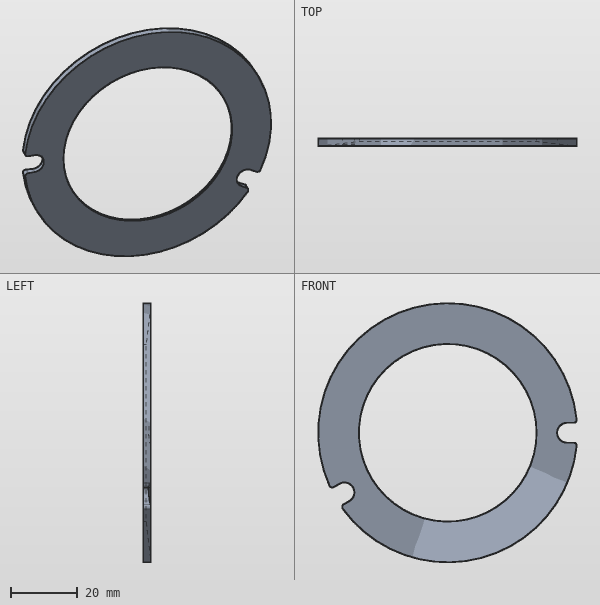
import cadquery as cq

outer_radius = 39.0
inner_radius = 26.65
rim_thickness = 2.3
inner_thickness = 0.85
back_y = rim_thickness / 2
rim_front_y = back_y - rim_thickness
inner_front_y = back_y - inner_thickness

notch_radius = 3.0
notch_center_distance = 35.85
notch_corner_radius = 0.9
notch_angles = (0, 210)


def make_tapered_ring():
    """Ring about Y with a flat back and a conical front, thickest at the rim."""
    section = (
        cq.Workplane("XY")
        .moveTo(inner_radius, inner_front_y)
        .lineTo(outer_radius, rim_front_y)
        .lineTo(outer_radius, back_y)
        .lineTo(inner_radius, back_y)
        .close()
    )
    return section.revolve(360, (0, 0, 0), (0, 1, 0))


def make_notched_disc():
    """Disc along Y with round-ended notches whose mouth corners are rounded."""
    mouth_length = 2 * (outer_radius - notch_center_distance)
    disc = cq.Workplane("XZ").circle(outer_radius).extrude(rim_thickness, both=True)
    for angle in notch_angles:
        notch = (
            cq.Workplane("XZ")
            .center(notch_center_distance, 0)
            .circle(notch_radius)
            .extrude(rim_thickness, both=True)
        )
        mouth = (
            cq.Workplane("XZ")
            .center(notch_center_distance + mouth_length / 2, 0)
            .rect(mouth_length, 2 * notch_radius)
            .extrude(rim_thickness, both=True)
        )
        disc = disc.cut(notch.union(mouth).rotate((0, 0, 0), (0, 1, 0), -angle))

    corner_distance = outer_radius - notch_corner_radius
    corners = [
        edge
        for edge in disc.edges("|Y").vals()
        if cq.Vector(edge.Center().x, 0, edge.Center().z).Length > corner_distance
    ]
    return disc.newObject(corners).fillet(notch_corner_radius)


result = make_tapered_ring().intersect(make_notched_disc())